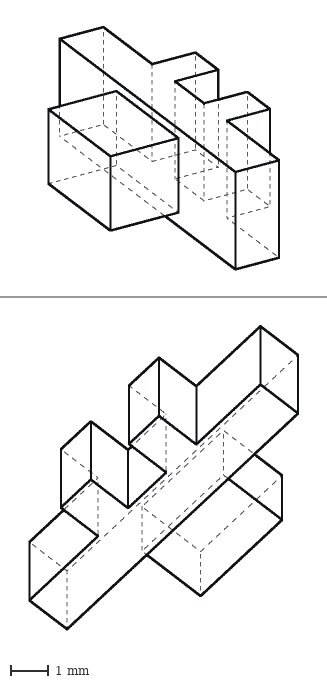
import cadquery as cq

plate_length = 9.24
plate_thickness = 1.37
plate_height = 2.93

button_width = 3.26
button_depth = 2.125
button_height = 2.24
button_top_gap = 0.28
button_bottom = plate_height - button_top_gap - button_height

overall_depth = 4.84
prong_width = 1.2
prong_depth = overall_depth - button_depth - plate_thickness
prong_spacing = 2.73
prong_pair_center = -0.09


def block(center_x, front_y, bottom_z, width, depth, height):
    """Box centred on center_x, growing toward +Y and +Z."""
    corner = (center_x - width / 2, front_y, bottom_z)
    return cq.Workplane("XY").box(width, depth, height, centered=False).translate(corner)


plate = block(0, 0, 0, plate_length, plate_thickness, plate_height)
button = block(0, -button_depth, button_bottom, button_width, button_depth, button_height)

result = plate.union(button)
for side in (-1, 1):
    prong_x = prong_pair_center + side * prong_spacing / 2
    prong = block(prong_x, plate_thickness, 0, prong_width, prong_depth, plate_height)
    result = result.union(prong)